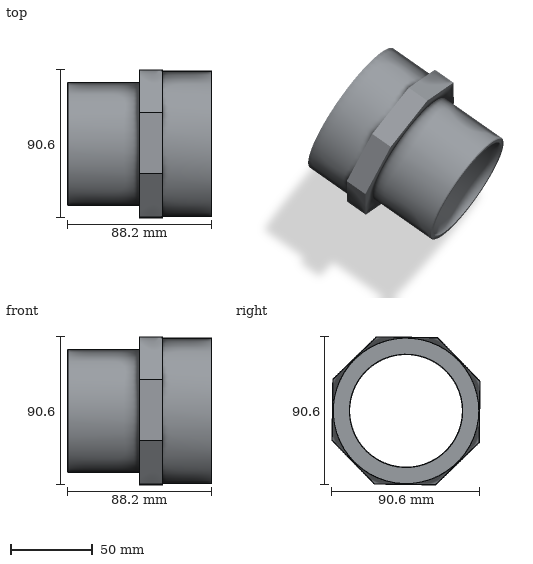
import cadquery as cq
import math

total_length = 88.2
ring_start = 43.95
ring_width = 14.1
ring_end = ring_start + ring_width

bore_diameter = 69.0
spigot_diameter = 75.2
socket_diameter = 89.0
spigot_chamfer = 0.45

ring_sides = 8
ring_across_flats = 90.1
ring_vertex_diameter = ring_across_flats / math.cos(math.pi / ring_sides)
ring_turn = -0.8
ring_angle = 180 / ring_sides + ring_turn


def axial_cylinder(diameter, start, end):
    """Cylinder about the X axis, from start to end."""
    return cq.Workplane("YZ").workplane(offset=start).circle(diameter / 2).extrude(end - start)


def make_fitting():
    """Stepped tube: chamfered spigot, larger socket and a through bore."""
    spigot = axial_cylinder(spigot_diameter, 0, ring_end).faces("<X").chamfer(spigot_chamfer)
    socket = axial_cylinder(socket_diameter, ring_end, total_length)
    bore = axial_cylinder(bore_diameter, 0, total_length)
    return spigot.union(socket).cut(bore)


def make_octagonal_ring():
    """Wrench ring fitted over the spigot and seated against the socket shoulder."""
    octagon = (
        cq.Workplane("YZ")
        .workplane(offset=ring_start)
        .polygon(ring_sides, ring_vertex_diameter)
        .extrude(ring_width)
        .rotate((0, 0, 0), (1, 0, 0), ring_angle)
    )
    return octagon.cut(axial_cylinder(spigot_diameter, ring_start, ring_end))


fitting = make_fitting()
octagonal_ring = make_octagonal_ring()

result = cq.Compound.makeCompound([fitting.val(), octagonal_ring.val()])